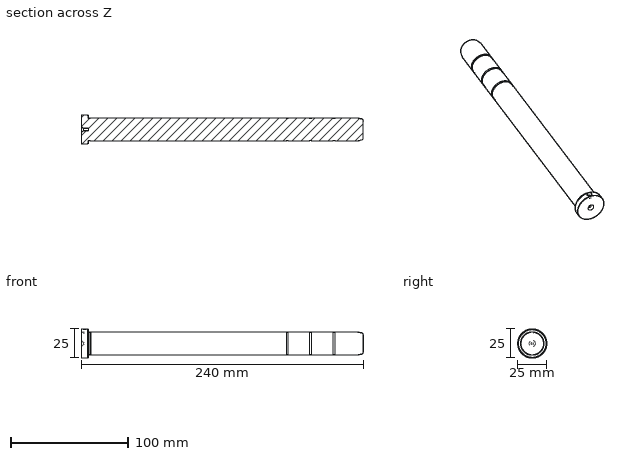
import cadquery as cq

length = 240.0
head_diameter = 25.0
head_thickness = 6.0
head_chamfer = 0.7
head_face_chamfer = 0.2
shaft_diameter = 20.0

relief_depth = 0.2
relief_floor = 1.5
relief_ramp = 0.7

groove_count = 3
groove_pitch = 20.0
last_groove_to_tip = 25.0
groove_width = 1.5
groove_depth = 0.5

taper_length = 5.0
taper_drop = 0.7
tip_radius = 2.0

center_mouth_diameter = 5.3
center_bore_diameter = 2.0
center_cone_depth = (center_mouth_diameter - center_bore_diameter) / 2
center_bore_depth = 6.0

rim_hole_diameter = 4.0
rim_hole_depth = 4.0
rim_hole_cone_depth = 1.2

shaft_radius = shaft_diameter / 2
head_radius = head_diameter / 2


def make_body():
    """Revolve the head, undercut, shaft and tapered tip about X."""
    relief_radius = shaft_radius - relief_depth
    relief_end = head_thickness + relief_floor
    taper_end_radius = shaft_radius - taper_drop
    round_start = length - tip_radius
    arc_rise = tip_radius * 0.5 ** 0.5
    arc_middle = (round_start + arc_rise, taper_end_radius - tip_radius + arc_rise)
    return (
        cq.Workplane("XY")
        .moveTo(0, 0)
        .lineTo(0, head_radius - head_face_chamfer)
        .lineTo(head_face_chamfer, head_radius)
        .lineTo(head_thickness - head_chamfer, head_radius)
        .lineTo(head_thickness, head_radius - head_chamfer)
        .lineTo(head_thickness, relief_radius)
        .lineTo(relief_end, relief_radius)
        .lineTo(relief_end + relief_ramp, shaft_radius)
        .lineTo(length - taper_length, shaft_radius)
        .lineTo(round_start, taper_end_radius)
        .threePointArc(arc_middle, (length, taper_end_radius - tip_radius))
        .lineTo(length, 0)
        .close()
        .revolve(360, (0, 0, 0), (1, 0, 0))
    )


def make_groove(center_x):
    """Ring with a circular-arc floor that cuts one lubrication groove."""
    half_width = groove_width / 2
    return (
        cq.Workplane("XY")
        .moveTo(center_x - half_width, shaft_radius)
        .threePointArc(
            (center_x, shaft_radius - groove_depth),
            (center_x + half_width, shaft_radius),
        )
        .lineTo(center_x + half_width, head_radius)
        .lineTo(center_x - half_width, head_radius)
        .close()
        .revolve(360, (0, 0, 0), (1, 0, 0))
    )


def make_center_hole():
    """45-degree countersink running into a small pilot bore."""
    return (
        cq.Workplane("XY")
        .moveTo(0, 0)
        .lineTo(0, center_mouth_diameter / 2)
        .lineTo(center_cone_depth, center_bore_diameter / 2)
        .lineTo(center_bore_depth, center_bore_diameter / 2)
        .lineTo(center_bore_depth, 0)
        .close()
        .revolve(360, (0, 0, 0), (1, 0, 0))
    )


def make_rim_hole():
    """Vertical drilled hole with a conical floor, centered in the width of the head."""
    center_x = head_thickness / 2
    rim_hole_radius = rim_hole_diameter / 2
    floor_z = head_radius - rim_hole_depth
    return (
        cq.Workplane("XZ")
        .moveTo(center_x, floor_z)
        .lineTo(center_x + rim_hole_radius, floor_z + rim_hole_cone_depth)
        .lineTo(center_x + rim_hole_radius, head_radius)
        .lineTo(center_x, head_radius)
        .close()
        .revolve(360, (center_x, 0, 0), (center_x, 1, 0))
    )


result = make_body().cut(make_center_hole()).cut(make_rim_hole())
for index in range(groove_count):
    groove_x = length - last_groove_to_tip - index * groove_pitch
    result = result.cut(make_groove(groove_x))